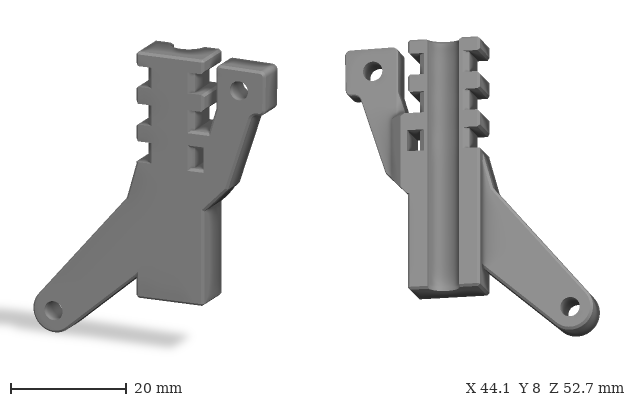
import cadquery as cq
import math

rail_depth = 8.0
rail_half = 6.4
rail_top = 44.45
bore_diameter = 5.6
bore_setback = 0.05
bore_axis_y = rail_depth + bore_setback
edge_chamfer = 0.4
arm_chamfer = 0.4
arm_back_chamfer = 0.15
neck_overlap = 1.05

slot_height = 3.75
slot_pitch = 6.8
first_slot_floor = 24.6
slot_count = 3
neck_half = 4.35
neck_chamfer = 0.95
top_slot_floor = first_slot_floor + (slot_count - 1) * slot_pitch
ledge_z = first_slot_floor + slot_pitch

pin_hole_diameter = 3.4

lower_arm_depth = 6.0
lower_eye_x = -22.0
lower_eye_z = -4.2
lower_eye_radius = 4.0
lower_arm_top_z = 24.3
lower_arm_root_z = 3.75
shoulder_x = -8.25
shoulder_z = 17.8

upper_arm_depth = 5.5
upper_arm_root_z = 17.1
elbow_x = 10.9
elbow_z = upper_arm_root_z + elbow_x - rail_half
ledge_end_x = 7.3
head_left = 8.7
head_left_bottom = 35.85
head_right = 18.1
head_top = 43.9
head_bottom = 35.7
head_tilt = math.radians(1.0)
head_neck_x = 15.6
head_corner_radius = 1.0
head_neck_radius = 1.3
upper_hole_x = 13.15
upper_hole_z = 39.8

gusset_reach = 9.7
gusset_bevel = 2.1
gusset_front = 2.65

relief_start = (7.0, 3.8)
relief_end = (8.95, upper_arm_depth)


def block(x_range, y_range, z_range):
    """Box between the given X, Y and Z limits."""
    size = [high - low for low, high in (x_range, y_range, z_range)]
    return cq.Workplane("XY").box(*size, centered=False).translate((x_range[0], y_range[0], z_range[0]))


def front_plate(profile, depth):
    """Extrude an X-Z profile from Y = 0 toward the back."""
    return profile.extrude(-depth)


def pin_hole(x, z):
    """Cutter for a cross hole along Y."""
    return cq.Workplane("XZ").center(x, z).circle(pin_hole_diameter / 2).extrude(-rail_depth)


def tangent_point(x, z, side):
    """Point where the line from (x, z) touches the lower eye; side picks one of the two tangents."""
    dx = x - lower_eye_x
    dz = z - lower_eye_z
    angle = math.atan2(dz, dx) + side * math.acos(lower_eye_radius / math.hypot(dx, dz))
    return (
        lower_eye_x + lower_eye_radius * math.cos(angle),
        lower_eye_z + lower_eye_radius * math.sin(angle),
    )


def make_base():
    """Solid lower block of the rail, below the first slot."""
    base = block((-rail_half, rail_half), (0, rail_depth), (0, first_slot_floor))
    return base.edges("|Z or <Z").chamfer(edge_chamfer)


def make_lower_arm():
    """Plate that tapers to a round eye, chamfered front and back."""
    upper_touch = tangent_point(shoulder_x, shoulder_z, 1)
    lower_touch = tangent_point(-rail_half, lower_arm_root_z, -1)
    eye_direction = math.radians(225)
    eye_far_point = (
        lower_eye_x + lower_eye_radius * math.cos(eye_direction),
        lower_eye_z + lower_eye_radius * math.sin(eye_direction),
    )
    profile = (
        cq.Workplane("XZ")
        .moveTo(0, lower_arm_top_z)
        .lineTo(-rail_half, lower_arm_top_z)
        .lineTo(shoulder_x, shoulder_z)
        .lineTo(*upper_touch)
        .threePointArc(eye_far_point, lower_touch)
        .lineTo(-rail_half, lower_arm_root_z)
        .lineTo(0, lower_arm_root_z + rail_half)
        .close()
    )
    arm = front_plate(profile, lower_arm_depth).faces("<Y or >Y").chamfer(arm_chamfer)
    return arm.cut(pin_hole(lower_eye_x, lower_eye_z))


def make_upper_arm():
    """Plate that leans out from the rail and ends in a rounded head."""
    tilt_rise = (head_right - head_left) * math.tan(head_tilt)
    tilt_run = (head_top - head_bottom) * math.tan(head_tilt)
    profile = (
        cq.Workplane("XZ")
        .moveTo(0, ledge_z)
        .lineTo(ledge_end_x, ledge_z)
        .lineTo(head_left, head_left_bottom)
        .lineTo(head_left, head_top)
        .lineTo(head_right, head_top - tilt_rise)
        .lineTo(head_right - tilt_run, head_bottom)
        .lineTo(head_neck_x, head_bottom)
        .lineTo(elbow_x, elbow_z)
        .lineTo(rail_half, upper_arm_root_z)
        .lineTo(0, upper_arm_root_z)
        .close()
    )
    arm = front_plate(profile, upper_arm_depth)
    for corner_x, corner_z, radius in (
        (head_left, head_top, head_corner_radius),
        (head_right, head_top - tilt_rise, head_corner_radius),
        (head_right - tilt_run, head_bottom, head_corner_radius),
        (head_neck_x, head_bottom, head_neck_radius),
    ):
        corner = cq.selectors.NearestToPointSelector((corner_x, upper_arm_depth / 2, corner_z))
        arm = arm.edges("|Y").edges(corner).fillet(radius)
    arm = arm.faces("<Y").chamfer(arm_chamfer).faces(">Y").chamfer(arm_back_chamfer)

    relief = (
        cq.Workplane("XY")
        .workplane(offset=ledge_z)
        .polyline([relief_start, relief_end, (relief_start[0], relief_end[1])])
        .close()
        .extrude(rail_top - ledge_z)
    )
    return arm.cut(relief).cut(pin_hole(upper_hole_x, upper_hole_z))


def make_gusset():
    """Thick web with a bevelled back, joining the upper arm to the rail."""
    profile = (
        cq.Workplane("XY")
        .workplane(offset=upper_arm_root_z)
        .moveTo(0, gusset_front)
        .lineTo(0, rail_depth)
        .lineTo(gusset_reach - gusset_bevel, rail_depth)
        .lineTo(gusset_reach, rail_depth - gusset_bevel)
        .lineTo(gusset_reach, gusset_front)
        .close()
    )
    gusset = profile.extrude(ledge_z - upper_arm_root_z)
    bevel_middle = (gusset_reach - gusset_bevel / 2, rail_depth - gusset_bevel / 2, ledge_z)
    gusset = gusset.edges(cq.selectors.NearestToPointSelector(bevel_middle)).chamfer(edge_chamfer)
    slope = (
        cq.Workplane("XZ")
        .moveTo(rail_half, upper_arm_root_z)
        .lineTo(elbow_x, elbow_z)
        .lineTo(elbow_x, upper_arm_root_z)
        .close()
        .extrude(-rail_depth)
    )
    return gusset.cut(slope)


def make_window():
    """Cutter for the opening between rail and upper arm, flared at the top and bottom of its mouth."""
    floor = first_slot_floor
    ceiling = first_slot_floor + slot_height
    profile = (
        cq.Workplane("YZ")
        .moveTo(0, floor - edge_chamfer)
        .lineTo(edge_chamfer, floor)
        .lineTo(rail_depth, floor)
        .lineTo(rail_depth, ceiling)
        .lineTo(edge_chamfer, ceiling)
        .lineTo(0, ceiling + edge_chamfer)
        .close()
    )
    return profile.extrude(rail_half)


def make_neck():
    """Chamfered core that joins the teeth."""
    neck = block(
        (-neck_half, neck_half),
        (0, rail_depth),
        (first_slot_floor - neck_overlap, top_slot_floor + slot_height + neck_overlap),
    )
    return neck.edges("|Z").chamfer(neck_chamfer)


def make_teeth():
    """Teeth above each slot; the lowest has only its left half, as the upper arm takes its place."""
    teeth = []
    for index in range(slot_count):
        bottom = first_slot_floor + index * slot_pitch + slot_height
        is_top = index == slot_count - 1
        top = rail_top if is_top else bottom + slot_pitch - slot_height
        tooth = block((-rail_half, rail_half), (0, rail_depth), (bottom, top))
        tooth = tooth.edges("|Y or |Z or >Z" if is_top else "|Y or |Z").chamfer(edge_chamfer)
        if index == 0:
            tooth = tooth.intersect(block((-rail_half, 0), (0, rail_depth), (bottom, top)))
        teeth.append(tooth)
    return teeth


def make_bore():
    """Half-round groove along the back of the rail, flared at the top end."""
    radius = bore_diameter / 2
    bore = cq.Workplane("XY").center(0, bore_axis_y).circle(radius).extrude(rail_top)
    flare = (
        cq.Workplane("XY")
        .workplane(offset=rail_top - edge_chamfer)
        .center(0, bore_axis_y)
        .circle(radius)
        .workplane(offset=edge_chamfer)
        .circle(radius + edge_chamfer)
        .loft()
    )
    return bore.union(flare)


result = (
    make_base()
    .union(make_lower_arm())
    .union(make_upper_arm())
    .union(make_gusset())
    .cut(make_window())
    .union(make_neck())
)
for tooth in make_teeth():
    result = result.union(tooth)
result = result.cut(make_bore())